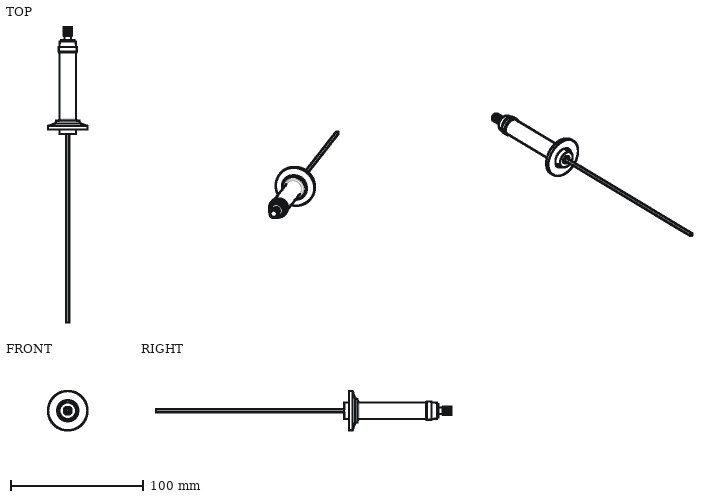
import cadquery as cq


total_length = 223.9
connector_end = 77.8
rod_tip = connector_end - total_length
rod_radius = 1.2

flange_radius = 15.0
rim_thickness = 2.7
cone_top = 4.6
cone_top_radius = 9.7
hub_foot = 5.95
hub_top = 6.7
hub_radius = 9.0
recess_radius = 8.0
recess_depth = 3.0

tube_radius = 6.35
tube_front = -3.5
front_weld = 0.7
rear_weld = 1.15
counterbore_radius = 3.0
counterbore_depth = 2.5
bore_mouth_radius = 2.2
bore_radius = 1.7
bore_chamfer = bore_mouth_radius - bore_radius
bore_depth = 4.0

collar_front = 58.5
collar_back = 62.4
collar_radius = 7.0
collar_chamfer = 0.5
cap_shoulder = 66.8
cap_shoulder_radius = 6.15
cap_back = 67.9
cap_step_radius = 5.0

neck_radius = 2.6
thread_radius = 3.1
thread_pitch = 0.9
crest_count = 8
end_land = 0.3


def revolve_about_y(profile):
    """Revolve a closed half section, drawn as (Y, radius), about the Y axis."""
    return profile.close().revolve(360, (0, 0, 0), (1, 0, 0))


def flange():
    """Clamping flange with a sloped back, a curved hub foot and a recessed sealing face."""
    profile = (
        cq.Workplane("YZ")
        .moveTo(hub_top, 0)
        .lineTo(hub_top, hub_radius)
        .lineTo(hub_foot, hub_radius)
        .tangentArcPoint((cone_top, cone_top_radius), relative=False)
        .lineTo(rim_thickness, flange_radius)
        .lineTo(0, flange_radius)
        .lineTo(0, recess_radius)
        .lineTo(recess_depth, recess_radius)
        .lineTo(recess_depth, 0)
    )
    return revolve_about_y(profile)


def tube():
    """Main tube with a weld fillet on each side of the flange, the rear collar and the end cap."""
    front_weld_start = recess_depth - front_weld
    rear_weld_end = hub_top + rear_weld
    cap_length = cap_shoulder - collar_back
    cap_drop = tube_radius - cap_shoulder_radius
    cap_crown_radius = (cap_length**2 + cap_drop**2) / (2 * cap_drop)
    profile = (
        cq.Workplane("YZ")
        .moveTo(tube_front, 0)
        .lineTo(tube_front, tube_radius)
        .lineTo(front_weld_start, tube_radius)
        .tangentArcPoint((recess_depth, tube_radius + front_weld), relative=False)
        .lineTo(hub_top, tube_radius + rear_weld)
        .radiusArc((rear_weld_end, tube_radius), -rear_weld)
        .lineTo(collar_front, tube_radius)
        .lineTo(collar_front, collar_radius - collar_chamfer)
        .lineTo(collar_front + collar_chamfer, collar_radius)
        .lineTo(collar_back, collar_radius)
        .lineTo(collar_back, tube_radius)
        .radiusArc((cap_shoulder, cap_shoulder_radius), cap_crown_radius)
        .lineTo(cap_shoulder, cap_step_radius)
        .lineTo(cap_back, cap_step_radius)
        .lineTo(cap_back, 0)
    )
    return revolve_about_y(profile)


def bore():
    """Counterbored blind hole with a chamfered mouth in the front end of the tube."""
    counterbore_floor = tube_front + counterbore_depth
    bore_floor = tube_front + bore_depth
    profile = (
        cq.Workplane("YZ")
        .moveTo(tube_front, 0)
        .lineTo(tube_front, counterbore_radius)
        .lineTo(counterbore_floor, counterbore_radius)
        .lineTo(counterbore_floor, bore_mouth_radius)
        .lineTo(counterbore_floor + bore_chamfer, bore_radius)
        .lineTo(bore_floor, bore_radius)
        .lineTo(bore_floor, 0)
    )
    return revolve_about_y(profile)


def connector():
    """Slim neck carrying evenly spaced V-shaped ridges up to its free end."""
    profile = cq.Workplane("YZ").moveTo(connector_end, 0).lineTo(connector_end, thread_radius)
    for index in range(crest_count):
        crest = connector_end - end_land - index * thread_pitch
        profile = profile.lineTo(crest, thread_radius)
        profile = profile.lineTo(crest - thread_pitch / 2, neck_radius)
    profile = profile.lineTo(cap_back, neck_radius).lineTo(cap_back, 0)
    return revolve_about_y(profile)


def rod():
    """Long thin rod that passes through the bore into the solid part of the tube."""
    rod_root = hub_top
    profile = (
        cq.Workplane("YZ")
        .moveTo(rod_tip, 0)
        .lineTo(rod_tip, rod_radius)
        .lineTo(rod_root, rod_radius)
        .lineTo(rod_root, 0)
    )
    return revolve_about_y(profile)


result = flange().union(tube()).cut(bore()).union(connector()).union(rod())